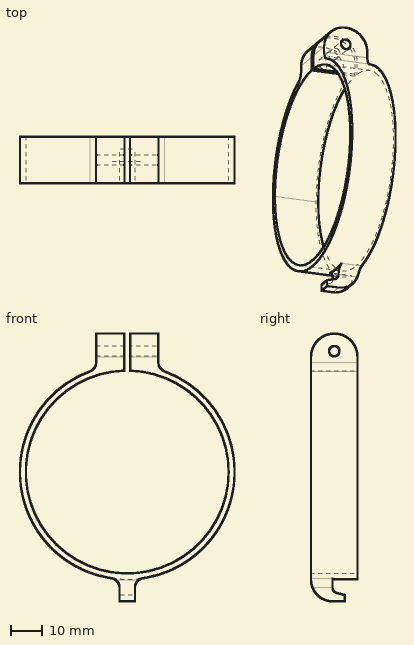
import cadquery as cq
import math

overall_height = 86
hook_bottom = -41.5

outer_radius = 34.5
inner_radius = 32.5
band_width = 15.0

lug_span = 20.0
lug_gap = 1.8
lug_top = overall_height + hook_bottom
lug_radius = band_width / 2
bolt_diameter = 3.3
bolt_height = 38.8

hook_width = 5.0
hook_inner_y = -0.5
hook_tip_y = 3.4
hook_tip_height = 2.1
hook_tip_slope = 15
hook_inner_fillet = 1.7

blend_radius = 3.0

front_y = -band_width / 2


def cylinder_along_y(radius):
    return cq.Workplane("XZ").circle(radius).extrude(band_width / 2, both=True)


def blended_post(half_width, end_z):
    """Full-width post from the ring centre to end_z, flaring tangentially into the ring."""
    direction = math.copysign(1, end_z)
    center_x = half_width + blend_radius
    center_distance = outer_radius + blend_radius
    center_z = math.sqrt(center_distance**2 - center_x**2)
    touch_x = center_x * outer_radius / center_distance
    touch_z = center_z * outer_radius / center_distance

    to_ring_angle = math.atan2(touch_z - center_z, touch_x - center_x)
    middle_angle = (to_ring_angle - math.pi) / 2
    middle_x = center_x + blend_radius * math.cos(middle_angle)
    middle_z = center_z + blend_radius * math.sin(middle_angle)

    return (
        cq.Workplane("XZ")
        .moveTo(0, 0)
        .lineTo(touch_x, direction * touch_z)
        .threePointArc((middle_x, direction * middle_z), (half_width, direction * center_z))
        .lineTo(half_width, end_z)
        .lineTo(-half_width, end_z)
        .lineTo(-half_width, direction * center_z)
        .threePointArc((-middle_x, direction * middle_z), (-touch_x, direction * touch_z))
        .close()
        .extrude(band_width / 2, both=True)
    )


def make_lugs():
    """Round-topped block that becomes two lugs once the gap is cut."""
    shoulder_z = lug_top - lug_radius
    side_profile = (
        cq.Workplane("YZ")
        .moveTo(front_y, 0)
        .lineTo(front_y, shoulder_z)
        .threePointArc((0, lug_top), (-front_y, shoulder_z))
        .lineTo(-front_y, 0)
        .close()
        .extrude(outer_radius, both=True)
    )
    return blended_post(lug_span / 2, lug_top).intersect(side_profile)


def make_hook():
    """Hook curving back from the front face toward +Y."""
    bend_radius = hook_inner_y - front_y
    bend_z = hook_bottom + bend_radius
    bend_middle = bend_radius * math.sqrt(0.5)
    tip_top = hook_bottom + hook_tip_height
    corner_z = tip_top + (hook_tip_y - hook_inner_y) * math.tan(math.radians(hook_tip_slope))

    turn = math.radians(90 - hook_tip_slope)
    setback = hook_inner_fillet * math.tan(turn / 2)
    slope = math.radians(hook_tip_slope)
    fillet_start = (hook_inner_y, corner_z + setback)
    fillet_end = (hook_inner_y + setback * math.cos(slope), corner_z - setback * math.sin(slope))

    side_profile = (
        cq.Workplane("YZ")
        .moveTo(front_y, 0)
        .lineTo(front_y, bend_z)
        .threePointArc(
            (hook_inner_y - bend_middle, bend_z - bend_middle),
            (hook_inner_y, hook_bottom),
        )
        .lineTo(hook_tip_y, hook_bottom)
        .lineTo(hook_tip_y, tip_top)
        .lineTo(*fillet_end)
        .tangentArcPoint(fillet_start, relative=False)
        .lineTo(hook_inner_y, 0)
        .close()
        .extrude(outer_radius, both=True)
    )
    return blended_post(hook_width / 2, hook_bottom).intersect(side_profile)


body = cylinder_along_y(outer_radius).union(make_lugs()).union(make_hook())
bore = cylinder_along_y(inner_radius)
gap = cq.Workplane("XY").rect(lug_gap, band_width).extrude(lug_top)
bolt_hole = (
    cq.Workplane("YZ")
    .center(0, bolt_height)
    .circle(bolt_diameter / 2)
    .extrude(lug_span / 2, both=True)
)

result = body.cut(bore).cut(gap).cut(bolt_hole)